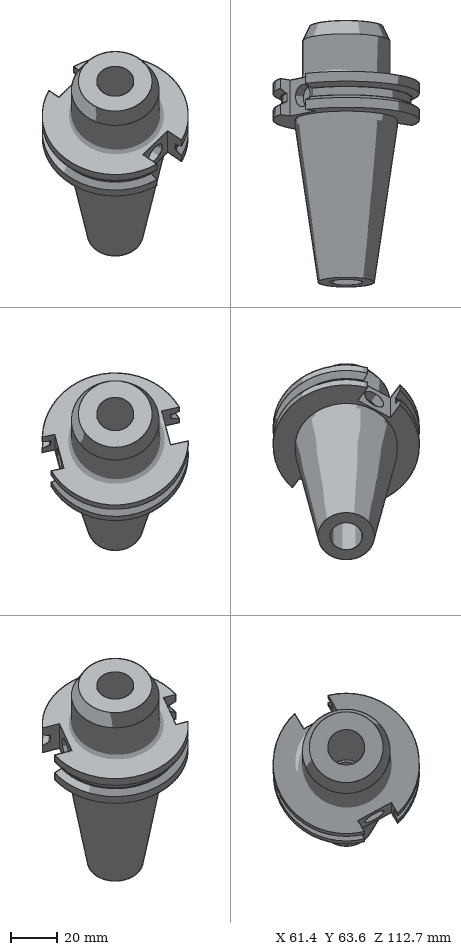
import cadquery as cq
import math

taper_length = 68.4
gauge_diameter = 44.4
taper_slope = 7 / 24
taper_end_diameter = gauge_diameter - taper_length * taper_slope
collar_length = 3.2

flange_diameter = 63.6
flange_thickness = 15.9
groove_floor_diameter = 56.4
groove_floor_width = 3.7
groove_mouth_width = 7.2
groove_flank_angle = 30

overall_length = 112.7
nose_diameter = 38.1
nose_tip_diameter = 32.0
nose_cone_length = 6.4
nose_root_radius = 3.0

bore_diameter = 14.0
socket_diameter = 16.0
socket_depth = 47.3

slot_width = 16.7
shallow_slot_offset = 25.0
deep_slot_offset = 22.8
slot_hole_diameter = 9.6
slot_hole_depth = 4.5

flange_bottom = taper_length + collar_length
flange_top = flange_bottom + flange_thickness
flange_middle = (flange_bottom + flange_top) / 2


def make_body():
    """Taper, collar, grooved flange and nose, revolved as one outline."""
    gauge_radius = gauge_diameter / 2
    flange_radius = flange_diameter / 2
    groove_radius = groove_floor_diameter / 2
    nose_radius = nose_diameter / 2
    half_floor = groove_floor_width / 2
    half_mouth = groove_mouth_width / 2
    flank_depth = (half_mouth - half_floor) / math.tan(math.radians(groove_flank_angle))
    flank_end_radius = flange_radius - flank_depth

    root_center_radius = nose_radius + nose_root_radius
    root_center_height = flange_top + nose_root_radius
    root_offset = nose_root_radius * math.sqrt(0.5)
    root_middle = (root_center_radius - root_offset, root_center_height - root_offset)

    outline = (
        cq.Workplane("XZ")
        .lineTo(taper_end_diameter / 2, 0)
        .lineTo(gauge_radius, taper_length)
        .lineTo(gauge_radius, flange_bottom)
        .lineTo(flange_radius, flange_bottom)
        .lineTo(flange_radius, flange_middle - half_mouth)
        .lineTo(flank_end_radius, flange_middle - half_floor)
        .lineTo(groove_radius, flange_middle - half_floor)
        .lineTo(groove_radius, flange_middle + half_floor)
        .lineTo(flank_end_radius, flange_middle + half_floor)
        .lineTo(flange_radius, flange_middle + half_mouth)
        .lineTo(flange_radius, flange_top)
        .lineTo(root_center_radius, flange_top)
        .threePointArc(root_middle, (nose_radius, root_center_height))
        .lineTo(nose_radius, overall_length - nose_cone_length)
        .lineTo(nose_tip_diameter / 2, overall_length)
        .lineTo(0, overall_length)
        .close()
    )
    return outline.revolve(360, (0, 0, 0), (0, 1, 0))


def make_bore():
    """Through bore with a wider socket at the nose end."""
    bore = cq.Workplane("XY").circle(bore_diameter / 2).extrude(overall_length)
    socket = (
        cq.Workplane("XY", origin=(0, 0, overall_length))
        .circle(socket_diameter / 2)
        .extrude(-socket_depth)
    )
    return bore.union(socket)


def make_drive_slot(side, floor_offset):
    """Slot across the flange rim plus the hole in its floor; side is -1 or 1."""
    slot_depth = flange_diameter / 2 - floor_offset
    slot = cq.Workplane("XY").box(slot_depth, slot_width, flange_thickness).translate(
        (side * (floor_offset + slot_depth / 2), 0, flange_middle)
    )
    hole = (
        cq.Workplane("YZ", origin=(side * floor_offset, 0, flange_middle))
        .circle(slot_hole_diameter / 2)
        .extrude(-side * slot_hole_depth)
    )
    return slot.union(hole)


result = make_body().cut(make_bore())
result = result.cut(make_drive_slot(-1, shallow_slot_offset))
result = result.cut(make_drive_slot(1, deep_slot_offset))